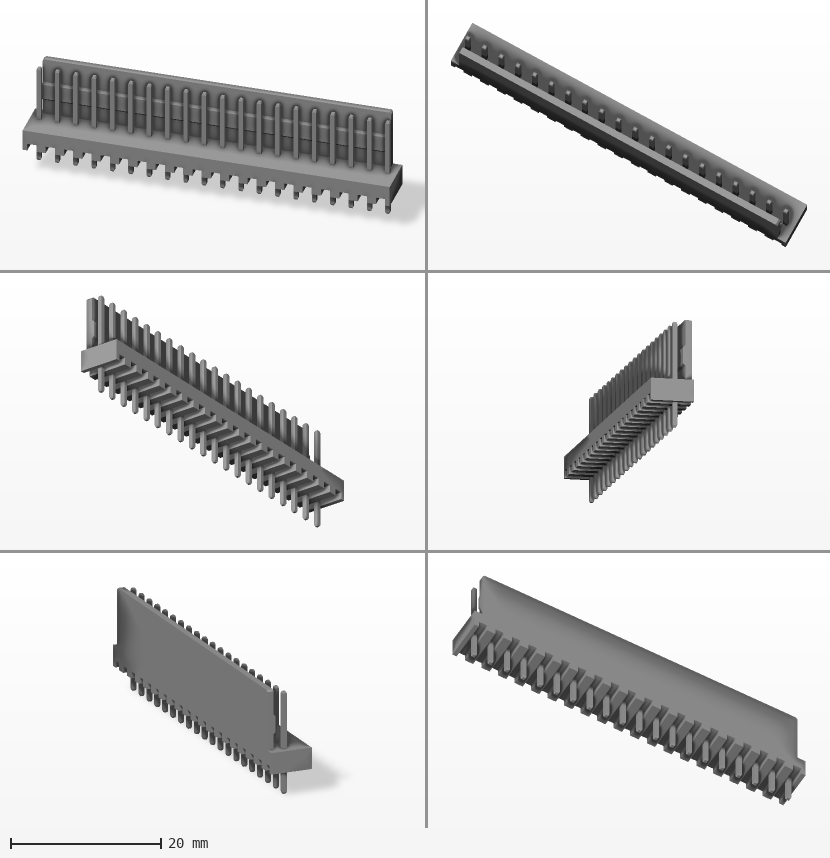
import cadquery as cq


pin_count = 20
pitch = 2.55
pin_width = 0.6
pin_tip_length = 0.25
pin_tip_width = 0.4
pin_back_offset = 2.4
pin_rise = 8.0
pin_drop = 3.3

base_length = pin_count * pitch
base_depth = 5.9
base_height = 3.0
back_y = base_depth / 2

slot_width = 1.25
slot_depth = 1.0

wall_length = base_length - pitch
wall_thickness = 0.9
wall_height = 8.4
wall_chamfer = 0.25

ridge_depth = 0.3
ridge_bottom = 2.15
ridge_top = 4.95

pin_y = back_y - pin_back_offset
pin_positions = [((i - (pin_count - 1) / 2) * pitch, pin_y) for i in range(pin_count)]


def make_base():
    base = cq.Workplane("XY").box(base_length, base_depth, base_height, centered=(True, True, False))
    slots = (
        cq.Workplane("XY")
        .pushPoints([(x, 0) for x, _ in pin_positions])
        .rect(slot_width, base_depth)
        .extrude(slot_depth)
    )
    return base.cut(slots)


def make_wall():
    wall_front = back_y - wall_thickness
    ridge_front = wall_front - ridge_depth
    profile = [
        (back_y, 0),
        (back_y, wall_height),
        (wall_front, wall_height),
        (wall_front, ridge_top),
        (ridge_front, ridge_top - ridge_depth),
        (ridge_front, ridge_bottom + ridge_depth),
        (wall_front, ridge_bottom),
        (wall_front, 0),
    ]
    wall = cq.Workplane("YZ").polyline(profile).close().extrude(wall_length / 2, both=True)
    wall = wall.faces(">Z").edges("|Y").chamfer(wall_chamfer)
    return wall.translate((0, 0, base_height))


def make_pin():
    """One square pin on the Z axis, tapered at both ends."""
    shank_bottom = pin_tip_length - pin_drop
    shank_top = base_height + pin_rise - pin_tip_length
    shank = (
        cq.Workplane("XY", origin=(0, 0, shank_bottom))
        .rect(pin_width, pin_width)
        .extrude(shank_top - shank_bottom)
    )

    def add_tip(body, face):
        return (
            body.faces(face)
            .workplane()
            .rect(pin_width, pin_width)
            .workplane(offset=pin_tip_length)
            .rect(pin_tip_width, pin_tip_width)
            .loft(combine=True)
        )

    return add_tip(add_tip(shank, ">Z"), "<Z")


pin = make_pin()
result = make_base().union(make_wall())
for x, y in pin_positions:
    result = result.union(pin.translate((x, y, 0)))